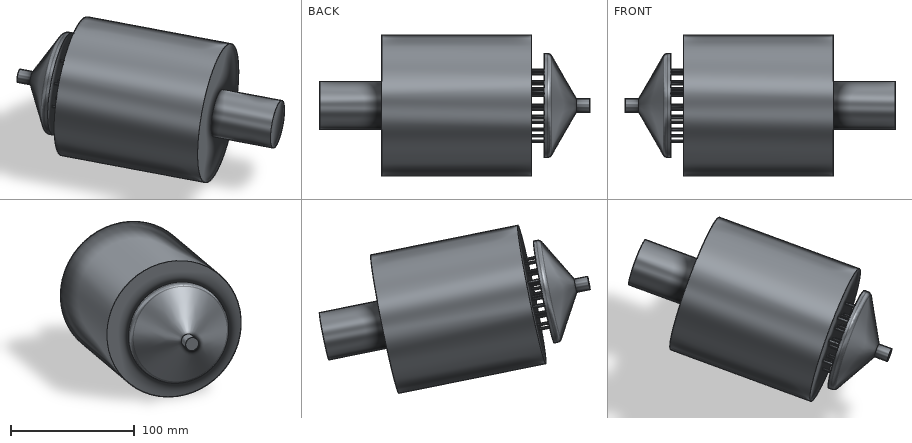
import cadquery as cq
import math

TIP_LENGTH = 11.0
TIP_RADIUS = 5.5
CONE_LENGTH = 21.0
RIM_LENGTH = 5.0
RIM_RADIUS = 42.0
RIM_FILLET = 4.0
PIN_LENGTH = 10.0
PIN_RADIUS = 1.0
DRUM_LENGTH = 121.0
DRUM_RADIUS = 57.0
SHAFT_LENGTH = 50.0
SHAFT_RADIUS = 19.5

PIN_RINGS = [
    (10.0, 5, 54.0),
    (19.0, 8, 0.0),
    (29.0, 9, 22.5),
]

DRUM_FRONT = 0.0
DRUM_BACK = DRUM_FRONT + DRUM_LENGTH
RIM_BACK = DRUM_FRONT - PIN_LENGTH
RIM_FRONT = RIM_BACK - RIM_LENGTH
CONE_FRONT = RIM_FRONT - CONE_LENGTH
TIP_FRONT = CONE_FRONT - TIP_LENGTH


def cylinder(start_x, length, radius):
    """Cylinder on the X axis that begins at start_x."""
    return cq.Workplane("YZ", origin=(start_x, 0, 0)).circle(radius).extrude(length)


def conical_head():
    """Cone that widens from the tip to a short rim, with the corner between them rounded."""
    head = (
        cq.Workplane("XY")
        .moveTo(CONE_FRONT, 0)
        .lineTo(CONE_FRONT, TIP_RADIUS)
        .lineTo(RIM_FRONT, RIM_RADIUS)
        .lineTo(RIM_BACK, RIM_RADIUS)
        .lineTo(RIM_BACK, 0)
        .close()
        .revolve(360, (0, 0, 0), (1, 0, 0))
    )
    rim_corner = cq.NearestToPointSelector((RIM_FRONT, 0, 0))
    return head.edges("%CIRCLE").edges(rim_corner).fillet(RIM_FILLET)


def pins():
    """Rings of thin pins that join the head to the drum."""
    points = []
    for ring_radius, pin_count, first_angle in PIN_RINGS:
        for pin in range(pin_count):
            angle = math.radians(first_angle + pin * 360 / pin_count)
            points.append((ring_radius * math.cos(angle), ring_radius * math.sin(angle)))
    rim_face = cq.Workplane("YZ", origin=(RIM_BACK, 0, 0))
    return rim_face.pushPoints(points).circle(PIN_RADIUS).extrude(PIN_LENGTH)


result = (
    cylinder(DRUM_FRONT, DRUM_LENGTH, DRUM_RADIUS)
    .union(cylinder(DRUM_BACK, SHAFT_LENGTH, SHAFT_RADIUS))
    .union(pins())
    .union(conical_head())
    .union(cylinder(TIP_FRONT, TIP_LENGTH, TIP_RADIUS))
)